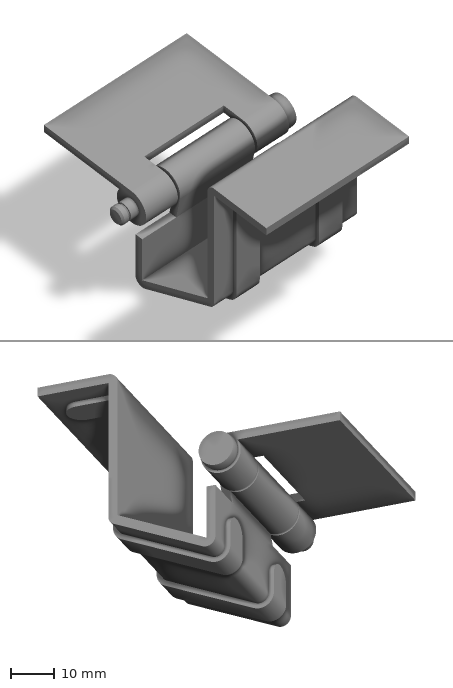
import cadquery as cq
import math


leaf_width = 45.0
sheet = 2.3
knuckle_radius = 5.0
pin_radius = 2.5

flat_end_x = -29.95
notch_end_x = -6.45
notch_width = 25.0

middle_knuckle_width = 23.55
wall_top_z = -7.9
near_wall_x = 3.65
far_wall_x = 26.0
near_corner_z = -21.1
far_corner_z = -10.95
flange_top_z = 26.0
flange_end_x = 46.05

rib_height = 1.3
rib_width = 7.3
rib_center_y = 13.0
rib_wall_end_z = -12.6
rib_flange_end_x = 42.55
rib_end_flat = 0.0015

head_radius = 4.55
head_end_radius = 4.3
head_length = 3.0
tail_length = 5.0
groove_radius = 2.05
groove_width = 0.7
groove_to_tip = 1.9
tip_chamfer = 0.5

slope = math.atan2(far_corner_z - near_corner_z, far_wall_x - near_wall_x)


def extrude_across(outline, width):
    """Extrude an XZ outline symmetrically about Y = 0."""
    return outline.extrude(width / 2, both=True)


def xz_circle(radius):
    return cq.Workplane("XZ").circle(radius)


def polar_point(center, radius, angle):
    """Point at a radius and angle (radians) from a centre in XZ."""
    return center[0] + radius * math.cos(angle), center[1] + radius * math.sin(angle)


def cut_pin_hole(body):
    return body.cut(extrude_across(xz_circle(pin_radius), leaf_width))


def make_flat_leaf():
    plate = cq.Workplane("XY").box(
        -flat_end_x, leaf_width, sheet, centered=(False, True, False)
    ).translate((flat_end_x, 0, knuckle_radius - sheet))
    notch_length = knuckle_radius - notch_end_x
    notch = cq.Workplane("XY").box(
        notch_length, notch_width, 2 * knuckle_radius, centered=(False, True, True)
    ).translate((notch_end_x, 0, 0))
    knuckle = extrude_across(xz_circle(knuckle_radius), leaf_width)
    return cut_pin_hole(plate.union(knuckle).cut(notch))


def crank_strip(depth, start_z, end_x, width):
    """Solid strip between the inner faces of the crank and a given depth outside them.

    The two lower bends are rounded about the sharp inner corners.
    """
    near_corner = (near_wall_x, near_corner_z)
    far_corner = (far_wall_x, far_corner_z)
    slope_normal = slope - math.pi / 2
    near_middle = (slope_normal - math.pi) / 2
    far_middle = slope_normal / 2
    top_bend_x = far_wall_x + sheet
    top_bend_center = (top_bend_x, flange_top_z - sheet)
    outline = (
        cq.Workplane("XZ")
        .moveTo(near_wall_x, start_z)
        .lineTo(near_wall_x - depth, start_z)
        .lineTo(near_wall_x - depth, near_corner_z)
        .threePointArc(
            polar_point(near_corner, depth, near_middle),
            polar_point(near_corner, depth, slope_normal),
        )
        .lineTo(*polar_point(far_corner, depth, slope_normal))
        .threePointArc(
            polar_point(far_corner, depth, far_middle),
            polar_point(far_corner, depth, 0),
        )
        .lineTo(far_wall_x + depth, flange_top_z - depth)
        .lineTo(end_x, flange_top_z - depth)
        .lineTo(end_x, flange_top_z)
        .lineTo(top_bend_x, flange_top_z)
        .threePointArc(
            polar_point(top_bend_center, sheet, 3 * math.pi / 4),
            (far_wall_x, flange_top_z - sheet),
        )
        .lineTo(*far_corner)
        .lineTo(*near_corner)
        .close()
    )
    return extrude_across(outline, width)


def make_rib(sheet_body):
    """Rib centred on Y = 0 with rounded ends, lying against the outside of the sheet."""
    strip = crank_strip(sheet + rib_height, rib_wall_end_z, rib_flange_end_x, rib_width)
    rib = strip.cut(sheet_body)
    end_radius = (rib_width - rib_end_flat) / 2
    wall_end = rib.edges("|X").edges(
        cq.selectors.BoxSelector(
            (near_wall_x - sheet - 2 * rib_height, -rib_width, rib_wall_end_z - rib_height),
            (near_wall_x, rib_width, rib_wall_end_z + rib_height),
        )
    )
    rib = wall_end.fillet(end_radius)
    return rib.faces(">X").edges("|Z").fillet(end_radius)


def make_strap():
    """Tilted strap from the top of the short wall, tangent to the middle knuckle."""
    base_distance = math.hypot(near_wall_x, wall_top_z)
    tangent_angle = math.atan2(wall_top_z, near_wall_x) + math.acos(knuckle_radius / base_distance)
    outline = cq.Workplane("XZ").polyline([
        (near_wall_x, wall_top_z),
        polar_point((0, 0), knuckle_radius, tangent_angle),
        polar_point((0, 0), knuckle_radius - sheet, tangent_angle),
        (near_wall_x - sheet, wall_top_z),
    ]).close()
    return extrude_across(outline, middle_knuckle_width)


def make_cranked_leaf():
    sheet_body = crank_strip(sheet, wall_top_z, flange_end_x, leaf_width)
    rib = make_rib(sheet_body)
    knuckle = extrude_across(xz_circle(knuckle_radius), middle_knuckle_width)
    leaf = sheet_body.union(make_strap()).union(knuckle)
    for center_y in (-rib_center_y, rib_center_y):
        leaf = leaf.union(rib.translate((0, center_y, 0)))
    return cut_pin_hole(leaf)


def pin_section(radius, start_y, end_y):
    """Cylinder on the pin axis between two Y positions."""
    return xz_circle(radius).extrude(start_y - end_y).translate((0, start_y, 0))


def make_pin():
    head_face_y = leaf_width / 2
    tip_y = -leaf_width / 2 - tail_length
    groove_start_y = tip_y + groove_to_tip
    groove_end_y = groove_start_y + groove_width
    head_end_y = head_face_y + head_length
    head = (
        cq.Workplane("XY")
        .moveTo(0, head_face_y)
        .lineTo(head_end_radius, head_face_y)
        .threePointArc((head_radius, head_face_y + head_length / 2), (head_end_radius, head_end_y))
        .lineTo(0, head_end_y)
        .close()
        .revolve(360, (0, 0, 0), (0, 1, 0))
    )
    shank = pin_section(pin_radius, tip_y, head_face_y)
    shank = shank.faces("<Y").chamfer(tip_chamfer)
    groove = pin_section(head_radius, groove_start_y, groove_end_y).cut(
        pin_section(groove_radius, groove_start_y, groove_end_y)
    )
    return shank.union(head).cut(groove)


flat_leaf = make_flat_leaf()
cranked_leaf = make_cranked_leaf()
pin = make_pin()

result = cq.Compound.makeCompound([
    flat_leaf.solids().val(),
    cranked_leaf.solids().val(),
    pin.solids().val(),
])